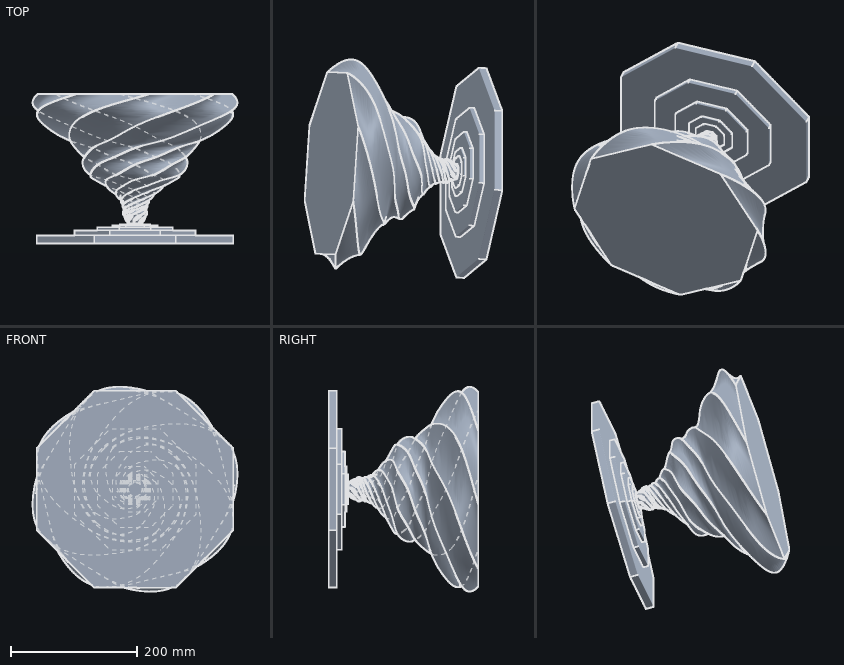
import cadquery as cq
import math

SIDES = 8
CORNER_STEP = 360 / SIDES
TOTAL_LENGTH = 237.0

PLATE_NUMBERS = (13, 8, 5, 3, 2, 1)
FOOT_HALF_WIDTH = 156.0
FOOT_THICKNESS = 13.0
PLATE_FILLET = 0.5
HALF_WIDTH_UNIT = FOOT_HALF_WIDTH / PLATE_NUMBERS[0]
THICKNESS_UNIT = FOOT_THICKNESS / PLATE_NUMBERS[0]
FOOT_LENGTH = THICKNESS_UNIT * sum(PLATE_NUMBERS)

RIDGE_CUT = 1.3

END_TURN = 0.2
FULL_TURN = 11
NECK_RADIUS = 11.5
BOWL_SECTIONS = (
    (FOOT_LENGTH, NECK_RADIUS, -END_TURN),
    (38.0, 15.5, 0),
    (47.8, 20.0, 1),
    (53.5, 19.0, 2),
    (57.8, 20.0, 3),
    (65.0, 22.5, 4),
    (72.8, 27.5, 5),
    (84.5, 40.3, 6),
    (91.0, 48.7, 6.5),
    (100.7, 64.0, 7),
    (108.8, 77.0, 7.5),
    (125.0, 83.5, 8),
    (136.8, 87.0, 8.5),
    (151.5, 95.2, 9),
    (162.5, 110.8, 9.5),
    (185.2, 141.5, 10),
    (210.5, 166.3, 10.5),
    (230.3, 160.5, FULL_TURN),
    (TOTAL_LENGTH, FOOT_HALF_WIDTH, FULL_TURN + END_TURN),
)


def make_foot():
    foot = cq.Workplane("XZ")
    start = 0
    for number in PLATE_NUMBERS:
        thickness = number * THICKNESS_UNIT
        plate = (
            cq.Workplane("XZ", origin=(0, start, 0))
            .polygon(SIDES, 2 * number * HALF_WIDTH_UNIT, circumscribed=True)
            .extrude(-thickness)
            .faces(">Y")
            .edges()
            .fillet(PLATE_FILLET)
        )
        foot = foot.union(plate)
        start += thickness
    return foot


def octagon_corner(section, corner):
    """Sharp corner of one bowl section; a positive turn carries +Z toward +X."""
    y, radius, turn = section
    angle = math.radians((turn + corner) * CORNER_STEP)
    return cq.Vector(radius * math.sin(angle), y, radius * math.cos(angle))


def section_points(section):
    """Outline of one bowl section: two points at each cut-back corner."""
    points = []
    for corner in range(SIDES):
        tip = octagon_corner(section, corner)
        for neighbour in (corner - 1, corner + 1):
            along_side = (octagon_corner(section, neighbour) - tip).normalized()
            points.append(tip + along_side * RIDGE_CUT)
    return points


def make_bowl():
    """Solid with smooth spirals along the corners and ruled faces between them."""
    outlines = [section_points(section) for section in BOWL_SECTIONS]
    spirals = [cq.Edge.makeSpline(list(points)) for points in zip(*outlines)]
    faces = [cq.Face.makeRuledSurface(spirals[i - 1], spirals[i]) for i in range(len(spirals))]
    for outline in (outlines[0], outlines[-1]):
        faces.append(cq.Face.makeFromWires(cq.Wire.makePolygon(outline, close=True)))
    return cq.Solid.makeSolid(cq.Shell.makeShell(faces))


result = make_foot().union(cq.Workplane(make_bowl()))